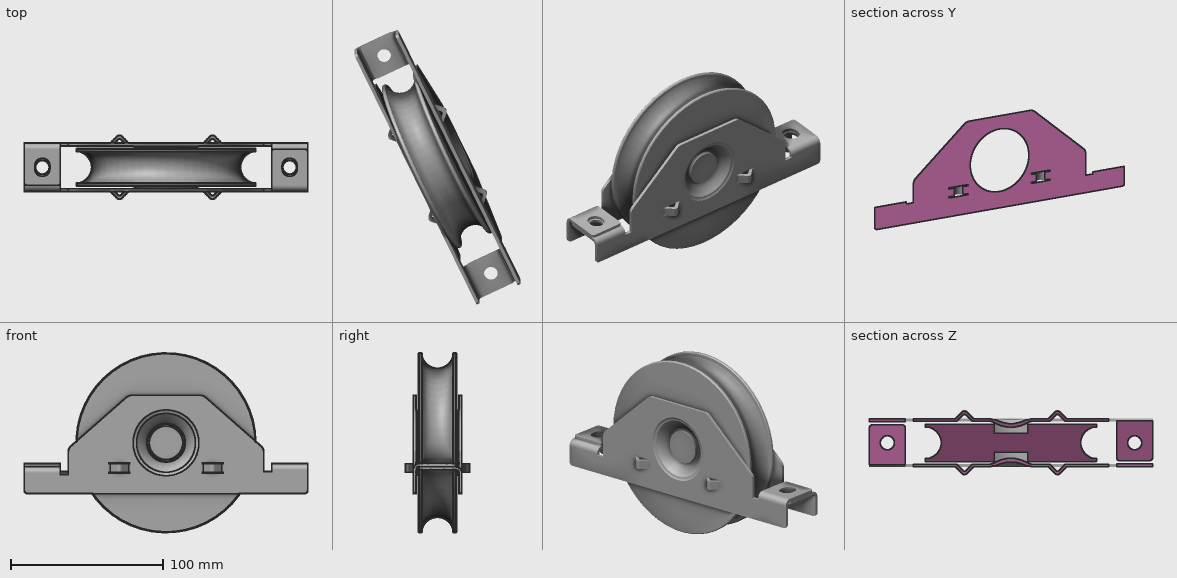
import cadquery as cq
import math


SHEET = 2.0
BEND_OUTER = 2 * SHEET
BEND_INNER = BEND_OUTER - SHEET
EDGE_ROUND = 2.0

HALF_LENGTH = 93.0
PLATE_OUTER_Y = 16.0
PLATE_INNER_Y = PLATE_OUTER_Y - SHEET
PLATE_BOTTOM_Z = -33.3
PLATE_TOP_Z = 31.0
TOP_HALF_WIDTH = 24.5
SHOULDER_X = 64.2
SHOULDER_Z = -3.7
SHOULDER_ROUND = 5.0

UPPER_FLANGE_TOP_Z = -13.5
LOWER_FLANGE_TOP_Z = UPPER_FLANGE_TOP_Z - SHEET
FLANGE_INNER_X = 69.2
FLANGE_REACH_Y = PLATE_INNER_Y - BEND_INNER
RELIEF_DEPTH = 5.2

FIXING_X = (HALF_LENGTH + FLANGE_INNER_X) / 2
FIXING_HOLE_DIAMETER = 9.0
FIXING_SLOT_WIDTH = 10.0
FIXING_SLOT_LENGTH = 11.9

LOOP_X = 30.5
LOOP_Z = -16.5
LOOP_HEIGHT = 5.8
LOOP_FOOT_X = 6.0
LOOP_ANGLE = math.radians(45)
LOOP_BEND_OUTER = 2.2
LOOP_BEND_INNER = 1.5
LOOP_WINDOW_HALF_WIDTH = 6.9
LOOP_WINDOW_HEIGHT = 6.7

PIN_DIAMETER = 22.0
PIN_HALF_LENGTH = 11.2

DISH_RADIUS = 40.5 / 2
DISH_FLOOR_RADIUS = 12.5
DISH_DEPTH = 7.3
DISH_BEND_OUTER = 3.3
DISH_BEND_INNER = DISH_BEND_OUTER - SHEET
DISH_FLOOR_ROUND = 0.7
DISH_ANGLE = math.atan2(DISH_DEPTH, DISH_RADIUS - DISH_FLOOR_RADIUS)
DISH_HALF_TAN = math.tan(DISH_ANGLE / 2)
DISH_OPENING_RADIUS = DISH_RADIUS + DISH_BEND_OUTER * DISH_HALF_TAN

WHEEL_RADIUS = 118.0 / 2
WHEEL_HALF_WIDTH = 12.5
GROOVE_HALF_WIDTH = 10.0
GROOVE_DEPTH = 10.0
RIM_DEPTH = 2.6
RIM_CHAMFER = 0.5
HUB_RECESS_DIAMETER = 40.0
HUB_RECESS_DEPTH = 6.1


def make_plate():
    """Flat plate of the -Y bracket, with a relief notch beside each flange."""
    upper_notch_z = UPPER_FLANGE_TOP_Z - RELIEF_DEPTH
    lower_notch_z = LOWER_FLANGE_TOP_Z - RELIEF_DEPTH
    upper_bend_z = UPPER_FLANGE_TOP_Z - BEND_OUTER
    lower_bend_z = LOWER_FLANGE_TOP_Z - BEND_OUTER
    outline = [
        (-HALF_LENGTH, PLATE_BOTTOM_Z),
        (HALF_LENGTH, PLATE_BOTTOM_Z),
        (HALF_LENGTH, upper_bend_z),
        (FLANGE_INNER_X, upper_bend_z),
        (FLANGE_INNER_X, upper_notch_z),
        (SHOULDER_X, upper_notch_z),
        (SHOULDER_X, SHOULDER_Z),
        (TOP_HALF_WIDTH, PLATE_TOP_Z),
        (-TOP_HALF_WIDTH, PLATE_TOP_Z),
        (-SHOULDER_X, SHOULDER_Z),
        (-SHOULDER_X, lower_notch_z),
        (-FLANGE_INNER_X, lower_notch_z),
        (-FLANGE_INNER_X, lower_bend_z),
        (-HALF_LENGTH, lower_bend_z),
    ]
    plate = (
        cq.Workplane("XZ", origin=(0, -PLATE_INNER_Y, 0))
        .polyline(outline)
        .close()
        .extrude(SHEET)
    )
    mid_y = -(PLATE_OUTER_Y + PLATE_INNER_Y) / 2
    for side in (-1, 1):
        for x, z in ((SHOULDER_X, SHOULDER_Z), (TOP_HALF_WIDTH, PLATE_TOP_Z)):
            corner = cq.selectors.NearestToPointSelector((side * x, mid_y, z))
            plate = plate.edges("|Y").edges(corner).fillet(SHOULDER_ROUND)
    return plate.edges("|Y and <Z").edges("<X or >X").fillet(EDGE_ROUND)


def make_flange(side, top_z):
    """Flange at one plate end, bent from the plate toward +Y."""
    bend_z = top_z - BEND_OUTER
    flange = (
        cq.Workplane("YZ", origin=(FLANGE_INNER_X, 0, 0))
        .moveTo(-PLATE_OUTER_Y, bend_z)
        .radiusArc((-PLATE_OUTER_Y + BEND_OUTER, top_z), BEND_OUTER)
        .lineTo(FLANGE_REACH_Y, top_z)
        .lineTo(FLANGE_REACH_Y, top_z - SHEET)
        .lineTo(-FLANGE_REACH_Y, top_z - SHEET)
        .radiusArc((-PLATE_INNER_Y, bend_z), -BEND_INNER)
        .close()
        .extrude(HALF_LENGTH - FLANGE_INNER_X)
        .edges("|Z and >Y")
        .fillet(EDGE_ROUND)
    )
    return flange if side > 0 else flange.mirror("YZ")


def make_fixing_cut(side, top_z):
    """Fixing opening: a slot in the upper flange (+X), a round hole in the lower one (-X)."""
    sketch = cq.Workplane("XY", origin=(side * FIXING_X, 0, top_z))
    if side > 0:
        return sketch.slot2D(FIXING_SLOT_LENGTH, FIXING_SLOT_WIDTH, 90).extrude(-SHEET)
    return sketch.circle(FIXING_HOLE_DIAMETER / 2).extrude(-SHEET)


def point_on_cone(corner_radius, corner_y, distance):
    """Radius and Y of the point that far down the dish cone from one of its corners."""
    return (
        corner_radius - distance * math.cos(DISH_ANGLE),
        corner_y + distance * math.sin(DISH_ANGLE),
    )


def make_dish():
    """Conical dish of constant sheet thickness, with the pin hole in its floor."""
    pin_radius = PIN_DIAMETER / 2
    floor_y = -PLATE_OUTER_Y + DISH_DEPTH
    back_shift = SHEET * DISH_HALF_TAN
    floor_tangent = DISH_FLOOR_ROUND * DISH_HALF_TAN
    front_cone = point_on_cone(DISH_RADIUS, -PLATE_OUTER_Y, DISH_BEND_OUTER * DISH_HALF_TAN)
    back_cone = point_on_cone(
        DISH_RADIUS + back_shift, -PLATE_INNER_Y, DISH_BEND_INNER * DISH_HALF_TAN
    )
    return (
        cq.Workplane("XY")
        .moveTo(DISH_OPENING_RADIUS, -PLATE_OUTER_Y)
        .radiusArc(front_cone, -DISH_BEND_OUTER)
        .lineTo(*point_on_cone(DISH_FLOOR_RADIUS, floor_y, -floor_tangent))
        .radiusArc((DISH_FLOOR_RADIUS - floor_tangent, floor_y), DISH_FLOOR_ROUND)
        .lineTo(pin_radius, floor_y)
        .lineTo(pin_radius, floor_y + SHEET)
        .lineTo(DISH_FLOOR_RADIUS + back_shift, floor_y + SHEET)
        .lineTo(*back_cone)
        .radiusArc((DISH_OPENING_RADIUS, -PLATE_INNER_Y), DISH_BEND_INNER)
        .close()
        .revolve(360, (0, 0, 0), (0, 1, 0))
    )


def make_dish_opening():
    """Plate material that the dish replaces."""
    return (
        cq.Workplane("XZ", origin=(0, -PLATE_INNER_Y, 0))
        .circle(DISH_OPENING_RADIUS)
        .extrude(SHEET)
    )


def make_loop(x):
    """V-shaped strip standing out of the plate toward -Y."""
    slope = math.tan(LOOP_ANGLE)
    inner_foot_x = LOOP_FOOT_X - SHEET / math.sin(LOOP_ANGLE)
    back_foot_x = inner_foot_x + SHEET / slope
    outer_apex_y = -PLATE_OUTER_Y - LOOP_FOOT_X * slope
    inner_apex_y = -PLATE_OUTER_Y - inner_foot_x * slope
    loop = (
        cq.Workplane("XY", origin=(x, 0, LOOP_Z - LOOP_HEIGHT / 2))
        .moveTo(-LOOP_WINDOW_HALF_WIDTH, -PLATE_OUTER_Y)
        .lineTo(-LOOP_FOOT_X, -PLATE_OUTER_Y)
        .lineTo(0, outer_apex_y)
        .lineTo(LOOP_FOOT_X, -PLATE_OUTER_Y)
        .lineTo(LOOP_WINDOW_HALF_WIDTH, -PLATE_OUTER_Y)
        .lineTo(LOOP_WINDOW_HALF_WIDTH, -PLATE_INNER_Y)
        .lineTo(back_foot_x, -PLATE_INNER_Y)
        .lineTo(0, inner_apex_y)
        .lineTo(-back_foot_x, -PLATE_INNER_Y)
        .lineTo(-LOOP_WINDOW_HALF_WIDTH, -PLATE_INNER_Y)
        .close()
        .extrude(LOOP_HEIGHT)
    )
    outer_apex = cq.selectors.NearestToPointSelector((x, outer_apex_y, LOOP_Z))
    inner_apex = cq.selectors.NearestToPointSelector((x, inner_apex_y, LOOP_Z))
    loop = loop.edges(outer_apex).fillet(LOOP_BEND_OUTER)
    return loop.edges(inner_apex).fillet(LOOP_BEND_INNER)


def make_loop_window(x):
    """Opening that the lanced strip leaves in the plate."""
    return cq.Workplane("XY", origin=(x, -PLATE_OUTER_Y + SHEET / 2, LOOP_Z)).box(
        2 * LOOP_WINDOW_HALF_WIDTH, SHEET, LOOP_WINDOW_HEIGHT
    )


def make_bracket():
    """Bracket on the -Y side of the wheel."""
    bracket = make_plate().cut(make_dish_opening()).union(make_dish())
    for x in (-LOOP_X, LOOP_X):
        bracket = bracket.cut(make_loop_window(x)).union(make_loop(x))
    for side, top_z in ((1, UPPER_FLANGE_TOP_Z), (-1, LOWER_FLANGE_TOP_Z)):
        bracket = bracket.union(make_flange(side, top_z)).cut(make_fixing_cut(side, top_z))
    return bracket


def make_wheel():
    """Wheel with flat rims beside a round groove, a pin bore and a recess clearing each dish."""
    groove_edge_radius = WHEEL_RADIUS - RIM_DEPTH
    wheel = (
        cq.Workplane("XY")
        .moveTo(PIN_DIAMETER / 2, -WHEEL_HALF_WIDTH)
        .lineTo(WHEEL_RADIUS, -WHEEL_HALF_WIDTH)
        .lineTo(WHEEL_RADIUS, -GROOVE_HALF_WIDTH)
        .lineTo(groove_edge_radius, -GROOVE_HALF_WIDTH)
        .threePointArc((WHEEL_RADIUS - GROOVE_DEPTH, 0), (groove_edge_radius, GROOVE_HALF_WIDTH))
        .lineTo(WHEEL_RADIUS, GROOVE_HALF_WIDTH)
        .lineTo(WHEEL_RADIUS, WHEEL_HALF_WIDTH)
        .lineTo(PIN_DIAMETER / 2, WHEEL_HALF_WIDTH)
        .close()
        .revolve(360, (0, 0, 0), (0, 1, 0))
    )
    rims = cq.selectors.RadiusNthSelector(-1)
    wheel = wheel.edges("%CIRCLE").edges(rims).chamfer(RIM_CHAMFER)
    for side in (-1, 1):
        recess = (
            cq.Workplane("XZ", origin=(0, side * WHEEL_HALF_WIDTH, 0))
            .circle(HUB_RECESS_DIAMETER / 2)
            .extrude(side * HUB_RECESS_DEPTH)
        )
        wheel = wheel.cut(recess)
    return wheel


def make_pin():
    """Plain pin through both dishes and the wheel."""
    return cq.Workplane("XZ").circle(PIN_DIAMETER / 2).extrude(PIN_HALF_LENGTH, both=True)


front_bracket = make_bracket()
brackets = [front_bracket.rotate((0, 0, 0), (0, 0, 1), turn).solids().val() for turn in (0, 180)]
wheel = make_wheel().solids()
pin = make_pin().solids()

result = cq.Compound.makeCompound([*brackets, wheel.val(), pin.val()])